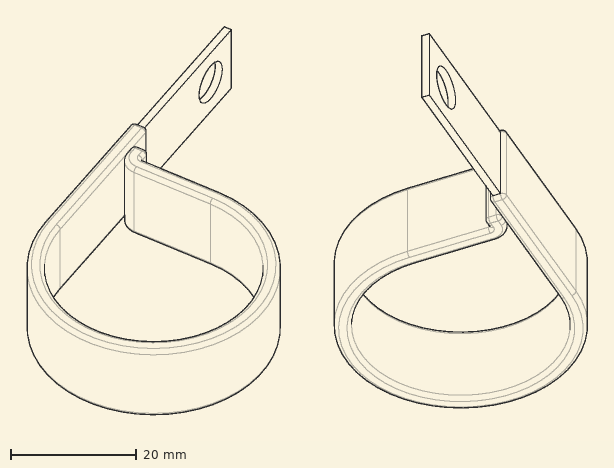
import cadquery as cq
import math

overall_length = 74.2
cushion_width = 14.25
loop_diameter = 40.45
strip_thickness = 1.3
cushion_cover = 0.72
cushion_end_y = 27.0
hook_gap = 0.1
hook_inner_radius = 0.4
hook_tip_y = 22.5
hole_diameter = 7.1
hole_end_distance = 6.4

cushion_thickness = strip_thickness + 2 * cushion_cover
strip_width = cushion_width - 2 * cushion_cover
outer_radius = loop_diameter / 2
inner_radius = outer_radius - cushion_thickness
strip_end_y = overall_length - outer_radius
hook_left_x = -inner_radius + hook_gap
hook_right_x = hook_left_x + cushion_thickness
hook_outer_radius = hook_inner_radius + cushion_thickness
bend_x = hook_right_x + hook_inner_radius
bend_y = outer_radius + hook_inner_radius


def bend_middle(radius):
    """Midpoint of the quarter bend between the arm and the hook."""
    offset = radius * math.sqrt(0.5)
    return (bend_x - offset, bend_y - offset)


def loop_middle(radius):
    """Midpoint of the three-quarter loop."""
    offset = radius * math.sqrt(0.5)
    return (offset, -offset)


def make_cushion():
    """Straight leg, loop, arm and hook, with every outer edge rounded."""
    body = (
        cq.Workplane("XY")
        .workplane(offset=-cushion_width / 2)
        .moveTo(-outer_radius, cushion_end_y)
        .lineTo(-outer_radius, 0)
        .threePointArc(loop_middle(outer_radius), (0, outer_radius))
        .lineTo(bend_x, outer_radius)
        .threePointArc(bend_middle(hook_inner_radius), (hook_right_x, bend_y))
        .lineTo(hook_right_x, hook_tip_y)
        .lineTo(hook_left_x, hook_tip_y)
        .lineTo(hook_left_x, bend_y)
        .threePointArc(bend_middle(hook_outer_radius), (bend_x, inner_radius))
        .lineTo(0, inner_radius)
        .threePointArc(loop_middle(inner_radius), (-inner_radius, 0))
        .lineTo(-inner_radius, cushion_end_y)
        .close()
        .extrude(cushion_width)
    )
    rim_edges = body.faces("<Z or >Z").edges()
    leg_end_edges = body.faces(">Y").edges("|Z")
    hook_tip_edges = body.edges(
        cq.selectors.BoxSelector(
            (hook_left_x - hook_gap / 2, hook_tip_y - hook_gap, -cushion_width / 4),
            (hook_right_x + hook_gap / 2, hook_tip_y + hook_gap, cushion_width / 4),
        )
    )
    return rim_edges.add(leg_end_edges).add(hook_tip_edges).fillet(cushion_cover)


def make_strip():
    """Bare mounting strip, rooted inside the straight leg."""
    length = strip_end_y
    centre_x = -outer_radius + cushion_thickness / 2
    strip = cq.Workplane("XY").box(strip_thickness, length, strip_width)
    strip = strip.translate((centre_x, length / 2, 0))
    hole = (
        cq.Workplane("YZ")
        .center(strip_end_y - hole_end_distance, 0)
        .circle(hole_diameter / 2)
        .extrude(-loop_diameter)
    )
    return strip.cut(hole)


result = make_cushion().union(make_strip())